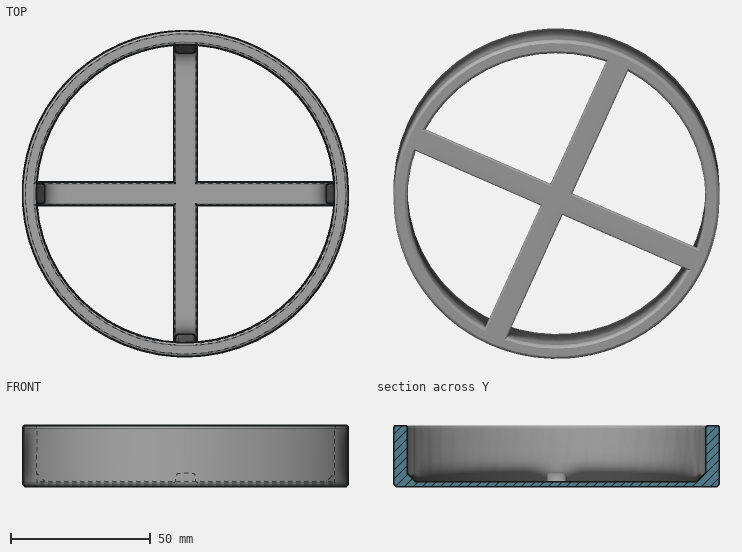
import cadquery as cq
outer_diameter = 116.5
inner_diameter = 106.5
ring_height = 22.0
ring_edge = 1.0

bar_width = 8.5
bar_thickness = 2.0
bar_fillet = 0.7
bar_chamfer = 0.5

gusset_width = bar_width - 2 * bar_fillet
gusset_reach = 3.0
gusset_height = 3.0
gusset_fillet = 1.0

inner_radius = inner_diameter / 2
wall = (outer_diameter - inner_diameter) / 2
embedded_end = inner_radius + wall / 2


def edges_near_height(height):
    """Select edges whose centre lies just above or below the given height."""
    reach = outer_diameter
    margin = 0.1
    return cq.selectors.BoxSelector((-reach, -reach, height - margin), (reach, reach, height + margin))


def make_ring():
    """Ring with rounded top edges; its chamfered bottom edges blend into the walls."""
    ring = cq.Workplane("XY").circle(outer_diameter / 2).circle(inner_radius).extrude(ring_height)
    ring = ring.faces(">Z").edges().fillet(ring_edge)
    ring = ring.faces("<Z").edges().chamfer(ring_edge)
    return ring.edges("%CIRCLE").edges(edges_near_height(ring_edge)).fillet(ring_edge)


def make_bar():
    """Bar along X, edged like the ring: rounded on top, chamfered and blended below."""
    bar = cq.Workplane("XY").box(2 * embedded_end, bar_width, bar_thickness, centered=(True, True, False))
    bar = bar.edges("|X and >Z").fillet(bar_fillet)
    bar = bar.edges("|X and <Z").chamfer(bar_chamfer)
    return bar.edges("|X").edges(edges_near_height(bar_chamfer)).fillet(bar_fillet)


def make_gusset():
    """Sloped block on the +X bar end, rising outward into the wall, with rounded long edges."""
    start = inner_radius - gusset_reach
    slope = gusset_height / gusset_reach
    base = bar_thickness / 2
    profile = [
        (start - (bar_thickness - base) / slope, base),
        (embedded_end, bar_thickness + slope * (embedded_end - start)),
        (embedded_end, base),
    ]
    gusset = cq.Workplane("XZ").polyline(profile).close().extrude(gusset_width / 2, both=True)
    sloped_edges = "not (|X or |Y or |Z)"
    return gusset.edges(sloped_edges).fillet(gusset_fillet)


bar = make_bar()
gusset = make_gusset()

result = make_ring().union(bar).union(bar.rotate((0, 0, 0), (0, 0, 1), 90))
for quarter in range(4):
    result = result.union(gusset.rotate((0, 0, 0), (0, 0, 1), 90 * quarter))